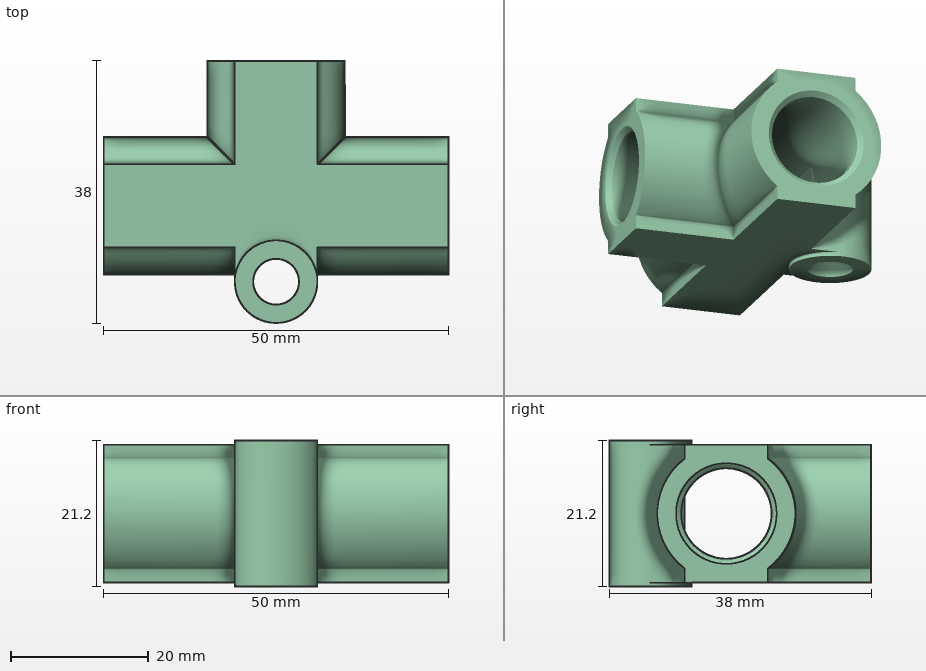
import cadquery as cq

run_length = 50.0
outlet_reach = 21.0
tube_diameter = 20.0
flat_width = 12.0

bore_diameter = 13.1
mouth_diameter = 14.6
chamfer_size = (mouth_diameter - bore_diameter) / 2

boss_diameter = flat_width
boss_height = 21.2
boss_offset = 11.0
boss_hole_diameter = 6.6

corner_fillet = 0.1

half_run = run_length / 2
half_flat = flat_width / 2


def arm_solid(plane, length):
    """Round tube with a full-height flat bar along its top and bottom."""
    tube = cq.Workplane(plane).circle(tube_diameter / 2).extrude(length)
    bar = cq.Workplane(plane).rect(flat_width, tube_diameter).extrude(length)
    return tube.union(bar)


def bore_solid(plane, length):
    """Bore running from the tee centre to an arm's end, with a chamfered mouth."""
    bore = cq.Workplane(plane).circle(bore_diameter / 2).extrude(length)
    mouth = (
        cq.Workplane(plane)
        .workplane(offset=length - chamfer_size)
        .circle(bore_diameter / 2)
        .workplane(offset=chamfer_size)
        .circle(mouth_diameter / 2)
        .loft(ruled=True)
    )
    return bore.union(mouth)


def vertical_cylinder(diameter, height):
    """Cylinder on the boss axis, centred on the mid-plane Z = 0."""
    return (
        cq.Workplane("XY")
        .workplane(offset=-height / 2)
        .center(0, -boss_offset)
        .circle(diameter / 2)
        .extrude(height)
    )


arms = [
    (cq.Plane((0, 0, 0), xDir=(0, 1, 0), normal=(1, 0, 0)), half_run),
    (cq.Plane((0, 0, 0), xDir=(0, -1, 0), normal=(-1, 0, 0)), half_run),
    (cq.Plane((0, 0, 0), xDir=(-1, 0, 0), normal=(0, 1, 0)), outlet_reach),
]

web_depth = boss_offset - half_flat
web = (
    cq.Workplane("XY")
    .center(0, -half_flat - web_depth / 2)
    .box(flat_width, web_depth, tube_diameter)
)

body = web
for plane, length in arms:
    body = body.union(arm_solid(plane, length))

edge_margin = 0.05
max_z = tube_diameter / 2 - edge_margin
inside_corners = cq.selectors.BoxSelector(
    (-half_run + edge_margin, -boss_offset + edge_margin, -max_z),
    (half_run - edge_margin, outlet_reach - edge_margin, max_z),
)
body = body.edges(inside_corners).fillet(corner_fillet)

boss = vertical_cylinder(boss_diameter, boss_height)
boss_hole = vertical_cylinder(boss_hole_diameter, boss_height)

bores = cq.Workplane("XY")
for plane, length in arms:
    bores = bores.add(bore_solid(plane, length))
passages = bores.combine().cut(web)

result = body.union(boss).cut(passages).cut(boss_hole)